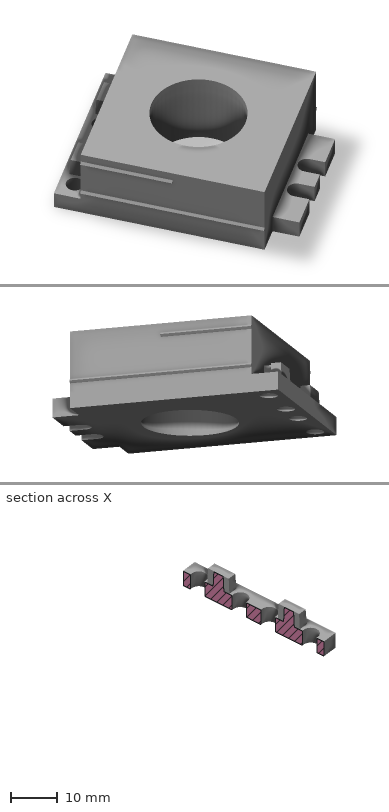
import cadquery as cq

block_length = 41.0
block_width = 39.0
block_height = 17.0
bore_diameter = 21.0

flange_length = 6.0
flange_height = 4.0

tab_length = 6.0
tab_width = 27.0
tab_height = 4.2

hole_diameter = 3.9
slot_width = 4.0
mount_x = 23.0
inner_mount_y = 4.0
outer_mount_y = 15.5

peg_height = 4.0
peg_taper = 0.2
peg_bar_width = 6.1
peg_bar_length = 2.4
peg_stem_width = 3.1
peg_gap_to_flange_edge = 1.5
peg_y = (inner_mount_y + outer_mount_y) / 2

rib_depth = 0.5
rib_height = 2 * rib_depth
lower_rib_z = 6.0
upper_rib_z = 14.5

block_left = -block_length / 2
block_right = block_length / 2
flange_left = block_left - flange_length
tab_right = block_right + tab_length


def box(x_min, x_max, width, height):
    """Box standing on Z = 0 and centred on Y."""
    return cq.Workplane("XY").box(x_max - x_min, width, height, centered=(False, True, False)).translate(
        (x_min, 0, 0)
    )


def make_slot(y):
    """Round-ended slot through the tab, open at the tab's outer edge."""
    half_width = slot_width / 2
    return (
        cq.Workplane("XY")
        .moveTo(tab_right, y - half_width)
        .lineTo(mount_x, y - half_width)
        .threePointArc((mount_x - half_width, y), (mount_x, y + half_width))
        .lineTo(tab_right, y + half_width)
        .close()
        .extrude(tab_height)
    )


def tapered_prism(x_min, x_max, width, left_taper):
    """Peg portion whose Y sides, and optionally its -X side, lean inwards."""
    top_x_min = x_min + left_taper
    return (
        cq.Workplane("XY", origin=(0, 0, flange_height))
        .center((x_min + x_max) / 2, 0)
        .rect(x_max - x_min, width)
        .workplane(offset=peg_height)
        .center((top_x_min - x_min) / 2, 0)
        .rect(x_max - top_x_min, width - 2 * peg_taper)
        .loft(ruled=True)
    )


def make_peg(y):
    """T-shaped peg: a wide bar joined to the block by a narrower stem."""
    bar_left = flange_left + peg_gap_to_flange_edge
    bar_right = bar_left + peg_bar_length
    bar = tapered_prism(bar_left, bar_right, peg_bar_width, peg_taper)
    stem = tapered_prism(bar_right, block_left, peg_stem_width, 0)
    return bar.union(stem).translate((0, y, 0))


def make_rib(side, z, length):
    """V-shaped rib starting at the block's -X end; side is +1 or -1 along Y."""
    face_y = side * block_width / 2
    return (
        cq.Workplane("YZ", origin=(block_left, 0, 0))
        .moveTo(face_y, z - rib_height / 2)
        .lineTo(face_y + side * rib_depth, z)
        .lineTo(face_y, z + rib_height / 2)
        .close()
        .extrude(length)
    )


result = box(block_left, block_right, block_width, block_height)
result = result.union(box(flange_left, block_left, block_width, flange_height))
result = result.union(box(block_right, tab_right, tab_width, tab_height))

for side in (-1, 1):
    result = result.union(make_peg(side * peg_y))
    result = result.union(make_rib(side, lower_rib_z, block_length))
    result = result.union(make_rib(side, upper_rib_z, block_length / 2))

result = result.cut(cq.Workplane("XY").circle(bore_diameter / 2).extrude(block_height))

for side in (-1, 1):
    hole_points = [(-mount_x, side * inner_mount_y), (-mount_x, side * outer_mount_y)]
    holes = cq.Workplane("XY").pushPoints(hole_points).circle(hole_diameter / 2).extrude(flange_height)
    result = result.cut(holes)
    result = result.cut(make_slot(side * inner_mount_y))